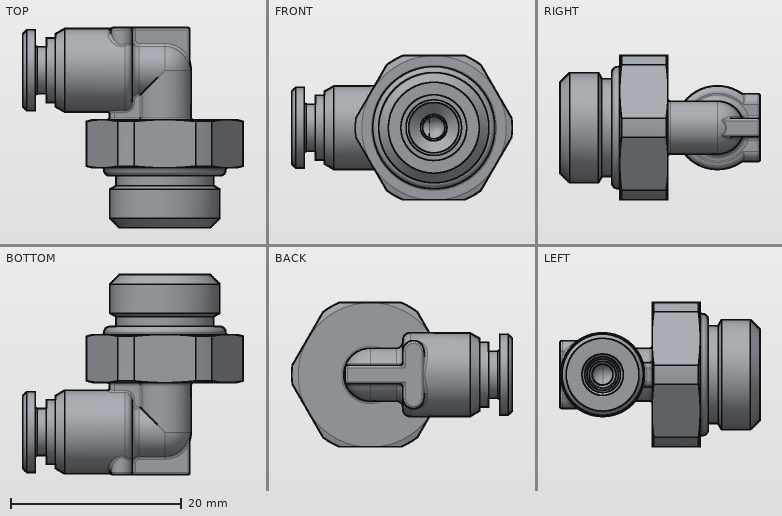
import cadquery as cq
import math


hex_flats = 17.0
hex_corner_radius = 9.23
hex_top_y = -5.8
hex_bottom_y = -11.47
hex_chamfer_height = 0.2
collar_radius = 7.19
collar_height = 0.95
collar_round = 0.75
collar_root_round = 0.15
undercut_radius = 5.75
undercut_end_y = -13.57
thread_radius = 6.48
thread_lead_in = 0.42
thread_chamfer = 1.15
stud_end_y = -18.52

pipe_radius = 3.1
leg_base_round = 0.25

socket_radius = 4.93
socket_nose_radius = 4.28
socket_front_x = -12.87
socket_chamfer_length = 1.12
socket_back_x = -3.85
socket_back_round = 0.85
socket_arm_round = 0.78
ring_radius = 3.81
ring_length = 1.06

sleeve_front_x = hex_corner_radius - 25.95
flange_radius = 4.77
flange_length = 1.48
flange_chamfer = 0.5
neck_radius = 2.78
neck_root = 0.1
neck_root_length = 0.25
sleeve_end_x = socket_front_x
mouth_chamfer = 0.35

web_top_y = 5.03
web_end_x = 2.95
web_half_width = 1.1
web_round = 0.29
lug_radius = 1.25
lug_half_width = 4.0
web_root_round = 0.4
lug_root_round = 0.4
brace_end_x = -6.5
brace_half_width = 1.4
brace_round = 0.6
brace_root_round = 0.25

pick_margin = 0.03

tube_radius = 2.1
tube_seat_radius = 1.85
tube_stop_radius = 1.58
arm_passage_radius = 1.22
tube_seat_x = -8.55
tube_seat_taper = 0.52
tube_stop_x = -6.48
arm_cone_length = 0.78
stud_recess_radius = 3.87
stud_recess_depth = 0.4
stud_bore_radius = 3.27
stud_cone_start_radius = 2.95
stud_cone_end_radius = 1.55
stud_passage_radius = 1.32
stud_cone_start_y = -10.38
stud_cone_end_y = -9.2


def revolve_about_x(profile):
    return profile.close().revolve(360, (0, 0, 0), (1, 0, 0))


def revolve_about_y(profile):
    return profile.close().revolve(360, (0, 0, 0), (0, 1, 0))


def make_hex():
    """Hexagon with flats facing +Z and -Z, its corners turned and chamfered."""
    height = hex_top_y - hex_bottom_y
    prism = (
        cq.Workplane("XZ", origin=(0, hex_top_y, 0))
        .polygon(6, hex_flats / math.cos(math.pi / 6))
        .extrude(height)
    )
    turned = revolve_about_y(
        cq.Workplane("XY")
        .moveTo(0, hex_top_y)
        .lineTo(hex_flats / 2, hex_top_y)
        .lineTo(hex_corner_radius, hex_top_y - hex_chamfer_height)
        .lineTo(hex_corner_radius, hex_bottom_y + hex_chamfer_height)
        .lineTo(hex_flats / 2, hex_bottom_y)
        .lineTo(0, hex_bottom_y)
    )
    return prism.intersect(turned)


def make_stud():
    """Rounded collar, undercut and thread below the hexagon."""
    collar_end_y = hex_bottom_y - collar_height
    return revolve_about_y(
        cq.Workplane("XY")
        .moveTo(0, hex_bottom_y)
        .lineTo(collar_radius + collar_root_round, hex_bottom_y)
        .radiusArc((collar_radius, hex_bottom_y - collar_root_round), -collar_root_round)
        .lineTo(collar_radius, collar_end_y + collar_round)
        .radiusArc((collar_radius - collar_round, collar_end_y), collar_round)
        .lineTo(undercut_radius, collar_end_y)
        .lineTo(undercut_radius, undercut_end_y)
        .lineTo(thread_radius, undercut_end_y - thread_lead_in)
        .lineTo(thread_radius, stud_end_y + thread_chamfer)
        .lineTo(thread_radius - thread_chamfer, stud_end_y)
        .lineTo(0, stud_end_y)
    )


def make_leg():
    """Pipe from the hexagon to the elbow corner, flared where it meets the hexagon."""
    return revolve_about_y(
        cq.Workplane("XY")
        .lineTo(pipe_radius, 0)
        .lineTo(pipe_radius, hex_top_y + leg_base_round)
        .radiusArc((pipe_radius + leg_base_round, hex_top_y), -leg_base_round)
        .lineTo(0, hex_top_y)
    )


def make_socket():
    """Front ring, tube socket with rounded back, and the arm to the elbow corner."""
    return revolve_about_x(
        cq.Workplane("XY")
        .lineTo(socket_front_x - ring_length, 0)
        .lineTo(socket_front_x - ring_length, ring_radius)
        .lineTo(socket_front_x, ring_radius)
        .lineTo(socket_front_x, socket_nose_radius)
        .lineTo(socket_front_x + socket_chamfer_length, socket_radius)
        .lineTo(socket_back_x - socket_back_round, socket_radius)
        .radiusArc((socket_back_x, socket_radius - socket_back_round), socket_back_round)
        .lineTo(socket_back_x, pipe_radius + socket_arm_round)
        .radiusArc((socket_back_x + socket_arm_round, pipe_radius), -socket_arm_round)
        .lineTo(0, pipe_radius)
    )


def make_lug():
    """Round-edged cross lug on top of the socket back."""
    return (
        cq.Workplane("XZ", origin=(socket_back_x - lug_radius, 0, 0))
        .slot2D(2 * lug_half_width, 2 * lug_radius, 90)
        .extrude(-web_top_y)
        .faces(">Y")
        .edges()
        .fillet(web_round)
    )


def make_web():
    """Flat web filling the outer corner of the elbow, starting inside the lug."""
    start_x = socket_back_x - lug_radius
    return (
        cq.Workplane("XY", origin=(start_x, 0, 0))
        .box(web_end_x - start_x, web_top_y, 2 * web_half_width, centered=(False, False, True))
        .edges(">Y and |X")
        .fillet(web_round)
        .edges(">X and (not |Z)")
        .fillet(web_round)
    )


def make_brace():
    """Round-ended rib between the socket and the hexagon."""
    return (
        cq.Workplane("XY")
        .box(-brace_end_x, -hex_top_y, 2 * brace_half_width, centered=(False, False, True))
        .translate((brace_end_x, hex_top_y, 0))
        .edges("<X and |Y")
        .fillet(brace_round)
    )


def make_tube_bore():
    """Sleeve seat, tube seat and stop, then the passage to the elbow corner."""
    return revolve_about_x(
        cq.Workplane("XY")
        .lineTo(socket_front_x - ring_length, 0)
        .lineTo(socket_front_x - ring_length, neck_radius)
        .lineTo(sleeve_end_x, neck_radius)
        .lineTo(sleeve_end_x, tube_radius)
        .lineTo(tube_seat_x, tube_radius)
        .lineTo(tube_seat_x + tube_seat_taper, tube_seat_radius)
        .lineTo(tube_stop_x, tube_seat_radius)
        .lineTo(tube_stop_x, tube_stop_radius)
        .lineTo(tube_stop_x + arm_cone_length, arm_passage_radius)
        .lineTo(0, arm_passage_radius)
    )


def make_stud_bore():
    """End recess, wide bore and cone, then the passage to the elbow corner."""
    return revolve_about_y(
        cq.Workplane("XY")
        .lineTo(0, stud_end_y)
        .lineTo(stud_recess_radius, stud_end_y)
        .lineTo(stud_recess_radius, stud_end_y + stud_recess_depth)
        .lineTo(stud_bore_radius, stud_end_y + stud_recess_depth)
        .lineTo(stud_bore_radius, stud_cone_start_y)
        .lineTo(stud_cone_start_radius, stud_cone_start_y)
        .lineTo(stud_cone_end_radius, stud_cone_end_y)
        .lineTo(stud_passage_radius, stud_cone_end_y)
        .lineTo(stud_passage_radius, 0)
    )


def edges_within(low_corner, high_corner):
    """Selects the edges that lie completely inside a box."""
    return cq.selectors.BoxSelector(low_corner, high_corner, boundingbox=True)


def make_socket_with_lug():
    """Socket and lug, blended along the line where they meet."""
    lug_left_x = socket_back_x - 2 * lug_radius
    lug_root = edges_within(
        (lug_left_x - pick_margin, 0, -lug_half_width - pick_margin),
        (socket_back_x - pick_margin, web_top_y - web_round - pick_margin, lug_half_width + pick_margin),
    )
    return make_socket().union(make_lug()).edges(lug_root).fillet(lug_root_round)


def add_leg_and_brace(socket):
    """Leg and brace, with the brace blended into the socket and the leg."""
    brace_root = edges_within(
        (brace_end_x - pick_margin, hex_top_y + pick_margin, -brace_half_width - pick_margin),
        (0, 0, brace_half_width + pick_margin),
    )
    return socket.union(make_leg()).union(make_brace()).edges(brace_root).fillet(brace_root_round)


def add_corner_and_web(elbow):
    """Corner ball and web, with the web blended into the arm and the lug."""
    low_x = socket_back_x - pick_margin
    high_y = web_top_y - web_round - pick_margin
    web_roots = [
        edges_within((low_x, 0, side_z - pick_margin), (pick_margin, high_y, side_z + pick_margin))
        for side_z in (-web_half_width, web_half_width)
    ]
    corner = cq.Workplane("XY").sphere(pipe_radius).union(make_web())
    return elbow.union(corner).edges(web_roots[0] + web_roots[1]).fillet(web_root_round)


def make_hex_with_brace():
    """Hexagon with the brace standing on it, blended around the brace foot."""
    brace_foot = edges_within(
        (brace_end_x - pick_margin, hex_top_y - pick_margin, -brace_half_width - pick_margin),
        (pick_margin, hex_top_y + pick_margin, brace_half_width + pick_margin),
    )
    return make_hex().union(make_brace()).edges(brace_foot).fillet(brace_root_round)


def make_fitting():
    elbow = add_corner_and_web(add_leg_and_brace(make_socket_with_lug()))
    return (
        elbow.union(make_hex_with_brace())
        .union(make_stud())
        .cut(make_tube_bore())
        .cut(make_stud_bore())
        .cut(cq.Workplane("XY").sphere(stud_passage_radius))
    )


def make_release_sleeve():
    """Push flange with a neck that sits in the socket mouth, bored for the tube."""
    flange_back_x = sleeve_front_x + flange_length
    return revolve_about_x(
        cq.Workplane("XY")
        .moveTo(sleeve_front_x, tube_radius + mouth_chamfer)
        .lineTo(sleeve_front_x, flange_radius - flange_chamfer)
        .lineTo(sleeve_front_x + flange_chamfer, flange_radius)
        .lineTo(flange_back_x, flange_radius)
        .lineTo(flange_back_x, neck_radius + neck_root)
        .lineTo(flange_back_x + neck_root_length, neck_radius)
        .lineTo(sleeve_end_x, neck_radius)
        .lineTo(sleeve_end_x, tube_radius)
        .lineTo(sleeve_front_x + mouth_chamfer, tube_radius)
    )


fitting = make_fitting()
release_sleeve = make_release_sleeve()

result = cq.Compound.makeCompound([fitting.val(), release_sleeve.val()])